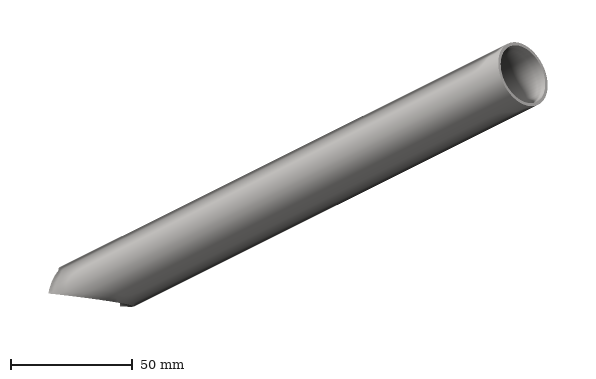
import cadquery as cq

outer_diameter = 28.0
outer_radius = outer_diameter / 2
wall = 1.4
end_centre = cq.Vector(175.4, 105.0, 172.5)

joining_radius = outer_radius
joining_reach = 97.9


def axial_cylinder(radius, start, direction, length):
    return cq.Workplane(cq.Plane(origin=start, normal=direction)).circle(radius).extrude(length)


def straight_tube():
    node = cq.Vector(0, 0, 0)
    length = end_centre.Length
    outside = axial_cylinder(outer_radius, node, end_centre, length)
    bore = axial_cylinder(outer_radius - wall, node, end_centre, length)
    return outside.cut(bore)


def mitred_arm(direction):
    """Solid joining tube along +X or +Y, trimmed to its own side of the mitre plane."""
    arm = axial_cylinder(joining_radius, direction * -joining_reach, direction, 2 * joining_reach)
    far_along = direction * joining_reach
    mitre_side = (
        cq.Workplane("XY")
        .polyline([(-joining_reach, -joining_reach), far_along.toTuple()[:2], (joining_reach, joining_reach)])
        .close()
        .extrude(joining_radius, both=True)
    )
    return arm.intersect(mitre_side)


tube = straight_tube()
for direction in (cq.Vector(1, 0, 0), cq.Vector(0, 1, 0)):
    tube = tube.cut(mitred_arm(direction))

result = cq.Workplane(max(tube.solids().vals(), key=lambda solid: solid.Volume()))